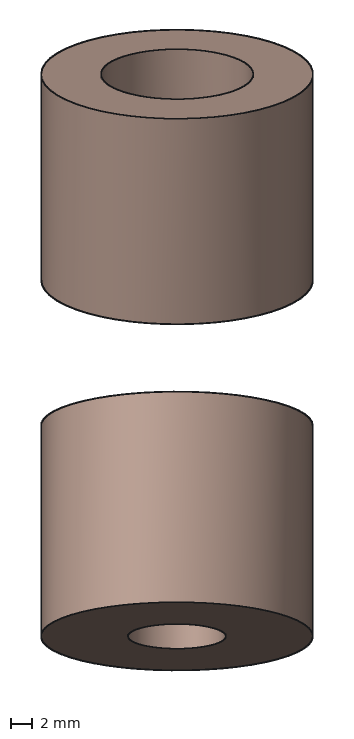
import cadquery as cq

outer_diameter = 25.0
height = 20.0
bore_diameter = 9.0
counterbore_diameter = 14.0
counterbore_depth = 8.6


def make_body():
    """Plain cylinder standing on the XY plane, centred on the Z axis."""
    return cq.Workplane("XY").circle(outer_diameter / 2).extrude(height)


def cut_stepped_bore(body):
    """Cut the through bore and its counterbore from the top face."""
    return body.faces(">Z").workplane().cboreHole(
        bore_diameter, counterbore_diameter, counterbore_depth
    )


result = cut_stepped_bore(make_body())